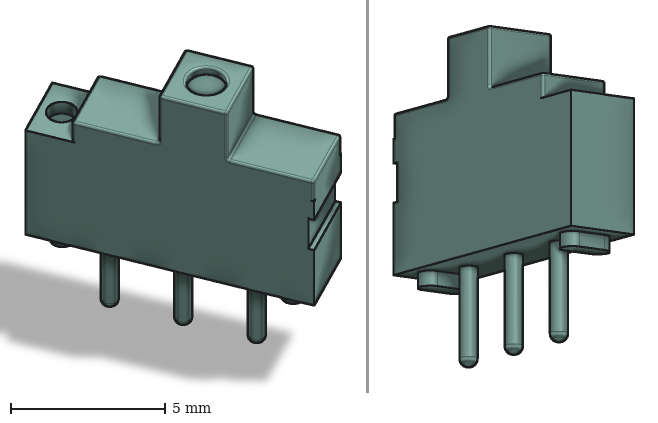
import cadquery as cq

body_length = 10.0
body_width = 2.5
body_height = 4.5
overall_height = 10.7

slider_length = 8.4
ledge_height = 0.85
knob_length = 2.38
knob_center_x = 0.8
slider_height = 2.89
edge_radius = 0.1

knob_recess_diameter = 1.5
knob_recess_depth = 0.3
knob_recess_rim_radius = 0.1
hole_diameter = 1.01
hole_depth = 0.5
hole_inset = 0.79

notch_depth = 0.2
notch_height = 1.31
notch_drop = 0.8

foot_length = 1.8
foot_width = 0.8
foot_height = 0.5
foot_offset_x = 4.0
pin_diameter = 0.6
pin_length = overall_height - body_height - slider_height
pin_pitch = 2.55


def make_housing():
    housing = cq.Workplane("XY").box(
        body_length, body_width, body_height, centered=(True, True, False)
    )
    notch = cq.Workplane("XY").box(2 * notch_depth, body_width, notch_height).translate(
        (body_length / 2, 0, body_height - notch_drop - notch_height / 2)
    )
    hole = (
        cq.Workplane("XY", origin=(hole_inset - body_length / 2, 0, body_height))
        .circle(hole_diameter / 2)
        .extrude(-hole_depth)
    )
    return housing.cut(notch).cut(hole)


def make_slider():
    right = body_length / 2
    left = right - slider_length
    knob_left = knob_center_x - knob_length / 2
    knob_right = knob_center_x + knob_length / 2
    ledge_top = body_height + ledge_height
    knob_top = body_height + slider_height
    slider = (
        cq.Workplane("XZ")
        .moveTo(left, body_height)
        .lineTo(left, ledge_top)
        .lineTo(knob_left, ledge_top)
        .lineTo(knob_left, knob_top)
        .lineTo(knob_right, knob_top)
        .lineTo(knob_right, ledge_top)
        .lineTo(right, ledge_top)
        .lineTo(right, body_height)
        .close()
        .extrude(body_width / 2, both=True)
    )
    slider = slider.edges("not(<Z)").fillet(edge_radius)
    return slider.cut(make_knob_recess(knob_top))


def make_knob_recess(knob_top):
    """Shallow round recess with a convex rounded rim."""
    radius = knob_recess_diameter / 2
    inner_radius = radius - knob_recess_rim_radius
    return (
        cq.Workplane("XZ", origin=(knob_center_x, 0, knob_top))
        .lineTo(radius, 0)
        .radiusArc((inner_radius, -knob_recess_rim_radius), -knob_recess_rim_radius)
        .lineTo(inner_radius, -knob_recess_depth)
        .lineTo(0, -knob_recess_depth)
        .close()
        .revolve(360, (0, 0, 0), (0, 1, 0))
    )


def make_feet():
    return (
        cq.Workplane("XY")
        .pushPoints([(-foot_offset_x, 0), (foot_offset_x, 0)])
        .slot2D(foot_length, foot_width, 90)
        .extrude(-foot_height)
    )


def make_pin(center_x):
    """Round pin with a hemispherical tip."""
    radius = pin_diameter / 2
    shank_length = pin_length - radius
    shank = cq.Workplane("XY").circle(radius).extrude(-shank_length)
    tip = cq.Workplane("XY").sphere(radius).translate((0, 0, -shank_length))
    return shank.union(tip).translate((center_x, 0, 0))


result = make_housing().union(make_slider()).union(make_feet())
for pin_index in (-1, 0, 1):
    result = result.union(make_pin(pin_index * pin_pitch))